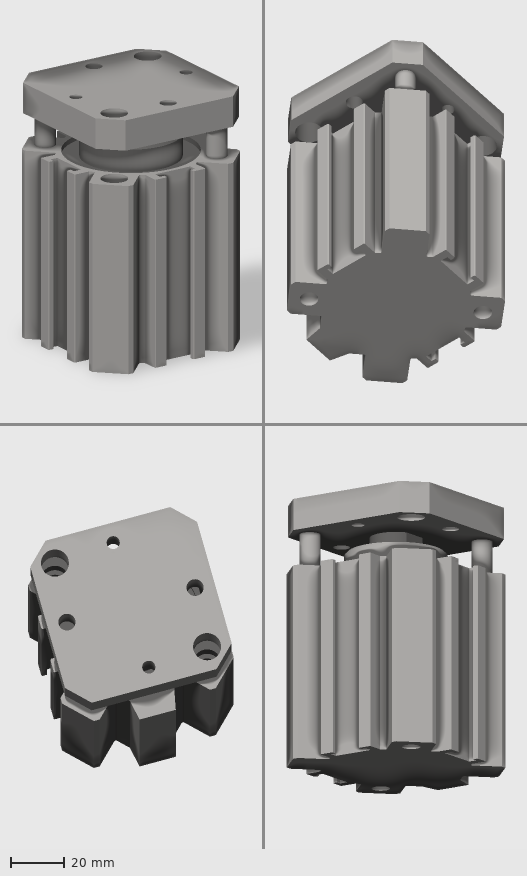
import cadquery as cq
import math

TOTAL_HEIGHT = 101.0
HOUSING_HEIGHT = 74.9
PLATE_THICKNESS = 12.1
COLLAR_HEIGHT = 8.0
COLLAR_TOP = HOUSING_HEIGHT + COLLAR_HEIGHT
PLATE_BOTTOM = TOTAL_HEIGHT - PLATE_THICKNESS

HOUSING_WIDTH = 67.0
HOUSING_HALF = HOUSING_WIDTH / 2
HOUSING_CORNER = 9.7

BLOCK_SHOULDER = 21.5
GROOVE_X = 13.1
WALL_RISE = HOUSING_HALF - BLOCK_SHOULDER
GROOVE_Y = GROOVE_X + WALL_RISE
GROOVE_FILLET = 0.7
RIB_OUTER = 11.4
RIB_CHAMFER = 0.3
RIB_TOP = 33.2
LIP_GAP_HALF = 6.0
LIP_CHAMFER = 0.4
LIP_UNDERSIDE = 31.2
T_SLOT_HALF = 8.0
T_SLOT_FLOOR = 28.0

RAIL_TOP = HOUSING_HALF + 4.0
RAIL_TOP_HALF = 7.1
RAIL_TAPER = 0.2
CUT_TOP = RAIL_TOP + 1.0

PLATE_WIDTH = 65.0
PLATE_CORNER = 8.2
PIN_HOLE_DIAMETER = 4.9
SCREW_HOLE_DIAMETER = 6.5
HOLE_CIRCLE_DIAMETER = 50.0

CORNER_OFFSET = 23.2
BOLT_HEAD_DIAMETER = 10.5
BOLT_HEAD_DEPTH = 7.0
BOLT_DIAMETER = 7.0
GUIDE_ROD_DIAMETER = 8.0

RECESS_DIAMETER = 52.5
RECESS_DEPTH = 2.0
RECESS_FLOOR = HOUSING_HEIGHT - RECESS_DEPTH
COLLAR_DIAMETER = 39.0
COLLAR_CHAMFER = 1.0
PISTON_ROD_DIAMETER = 20.0
WRENCH_WIDTH = 17.0
WRENCH_HEIGHT = 4.4

BOLT_POINTS = [(-CORNER_OFFSET, CORNER_OFFSET), (CORNER_OFFSET, -CORNER_OFFSET)]
GUIDE_POINTS = [(-CORNER_OFFSET, -CORNER_OFFSET), (CORNER_OFFSET, CORNER_OFFSET)]


def disc(diameter, bottom, height, points=((0, 0),)):
    """Upright cylinders of one diameter standing at the given points."""
    base = cq.Workplane("XY").workplane(offset=bottom)
    return base.pushPoints(points).circle(diameter / 2).extrude(height)


def octagon_block(width, corner, bottom, height):
    """Square block with its four upright corners cut at 45 degrees."""
    block = cq.Workplane("XY").workplane(offset=bottom).rect(width, width).extrude(height)
    return block.edges("|Z").chamfer(corner)


def channel_half(inner_points):
    """Half (X > 0) of the space removed from the +Y face.

    The V groove beside the corner block is common to every face; inner_points
    carry the outline on from the groove to the middle of the face.
    """
    run = GROOVE_FILLET / math.sqrt(2)
    arc_y = GROOVE_Y + GROOVE_FILLET * (math.sqrt(2) - 1)
    outline = (
        cq.Workplane("XY")
        .moveTo(CUT_TOP - WALL_RISE, CUT_TOP)
        .lineTo(GROOVE_X + run, GROOVE_Y + run)
        .threePointArc((GROOVE_X, arc_y), (GROOVE_X - run, GROOVE_Y + run))
    )
    for x, y in inner_points:
        outline = outline.lineTo(x, y)
    return outline.close().extrude(HOUSING_HEIGHT)


def t_slot_channel():
    """Channel with two lipped ribs that form a T-slot between them."""
    half = channel_half([
        (RIB_OUTER, GROOVE_X + GROOVE_Y - RIB_OUTER),
        (RIB_OUTER, RIB_TOP - RIB_CHAMFER),
        (RIB_OUTER - RIB_CHAMFER, RIB_TOP),
        (LIP_GAP_HALF + LIP_CHAMFER, RIB_TOP),
        (LIP_GAP_HALF, RIB_TOP - LIP_CHAMFER),
        (LIP_GAP_HALF, LIP_UNDERSIDE),
        (T_SLOT_HALF, LIP_UNDERSIDE),
        (T_SLOT_HALF, T_SLOT_FLOOR),
        (0, T_SLOT_FLOOR),
        (0, CUT_TOP),
    ])
    return half.union(half.mirror("YZ"))


def rail_channel():
    """Channel whose groove floors run up to the tapered flanks of the rail."""
    groove_sum = GROOVE_X + GROOVE_Y
    foot_x = (RAIL_TOP_HALF + RAIL_TAPER * (RAIL_TOP - groove_sum)) / (1 - RAIL_TAPER)
    half = channel_half([
        (foot_x, groove_sum - foot_x),
        (RAIL_TOP_HALF, RAIL_TOP),
        (RAIL_TOP_HALF, CUT_TOP),
    ])
    return half.union(half.mirror("YZ"))


def rail_blank():
    """Bar on the +Y face from which the rail channel leaves the tapered rail."""
    width = 2 * BLOCK_SHOULDER
    bar = cq.Workplane("XY").rect(width, RAIL_TOP, centered=(True, False))
    return bar.extrude(HOUSING_HEIGHT)


def make_collar():
    """Chamfered collar that rises from the recess floor around the piston rod."""
    collar = disc(COLLAR_DIAMETER, RECESS_FLOOR, COLLAR_TOP - RECESS_FLOOR)
    return collar.faces(">Z").edges().chamfer(COLLAR_CHAMFER)


def make_housing():
    """Extruded cylinder body with T-slots on three faces and a rail on the fourth."""
    body = octagon_block(HOUSING_WIDTH, HOUSING_CORNER, 0, HOUSING_HEIGHT)
    body = body.union(rail_blank()).cut(rail_channel())
    for angle in (90, 180, 270):
        body = body.cut(t_slot_channel().rotate((0, 0, 0), (0, 0, 1), angle))
    body = body.cut(disc(RECESS_DIAMETER, RECESS_FLOOR, RECESS_DEPTH))
    body = body.union(make_collar())
    body = body.cut(disc(BOLT_DIAMETER, 0, HOUSING_HEIGHT, BOLT_POINTS))
    head_seat = HOUSING_HEIGHT - BOLT_HEAD_DEPTH
    return body.cut(disc(BOLT_HEAD_DIAMETER, head_seat, BOLT_HEAD_DEPTH, BOLT_POINTS))


def make_piston_rod():
    """Piston rod between collar and plate, with two wrench flats facing -X and +X."""
    rod = disc(PISTON_ROD_DIAMETER, COLLAR_TOP, PLATE_BOTTOM - COLLAR_TOP)
    flats = (
        cq.Workplane("XY")
        .workplane(offset=PLATE_BOTTOM - WRENCH_HEIGHT)
        .rect(PISTON_ROD_DIAMETER, PISTON_ROD_DIAMETER)
        .rect(WRENCH_WIDTH, PISTON_ROD_DIAMETER)
        .extrude(WRENCH_HEIGHT)
    )
    return rod.cut(flats)


def make_plate():
    """Square end plate with corner bolt clearance holes and two pairs of smaller holes."""
    plate = octagon_block(PLATE_WIDTH, PLATE_CORNER, PLATE_BOTTOM, PLATE_THICKNESS)
    reach = HOLE_CIRCLE_DIAMETER / 2
    holes = [
        (BOLT_HEAD_DIAMETER, BOLT_POINTS),
        (SCREW_HOLE_DIAMETER, [(-reach, 0), (reach, 0)]),
        (PIN_HOLE_DIAMETER, [(0, -reach), (0, reach)]),
    ]
    for diameter, points in holes:
        plate = plate.cut(disc(diameter, PLATE_BOTTOM, PLATE_THICKNESS, points))
    return plate


def make_rod_unit():
    """End plate carried by the piston rod and two guide rods, as one moving solid."""
    guide_length = PLATE_BOTTOM - HOUSING_HEIGHT
    guide_rods = disc(GUIDE_ROD_DIAMETER, HOUSING_HEIGHT, guide_length, GUIDE_POINTS)
    return make_plate().union(make_piston_rod()).union(guide_rods)


housing = make_housing()
rod_unit = make_rod_unit()
result = cq.Compound.makeCompound([housing.val(), rod_unit.val()])